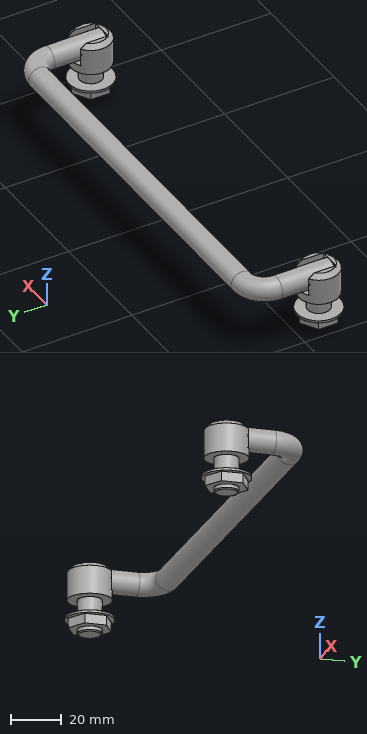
import cadquery as cq
import math

rod_diameter = 10.0
rod_radius = rod_diameter / 2
post_spacing = 180.0
bar_offset = 29.2
bend_radius = 10.0
rod_end_overrun = 5.0

head_diameter = 18.0
head_height = 13.7
head_chamfer = 2.0
slot_squeeze = 0.02

stud_diameter = 10.0
stud_end_z = -28.0
stud_chamfer = 0.5

washer_diameter = 20.0
washer_thickness = 1.0
washer_top_z = -21.0
nut_across_flats = 15.5
nut_height = 4.0

half_spacing = post_spacing / 2
rod_axis_z = -rod_radius
washer_bottom_z = washer_top_z - washer_thickness


def make_rod():
    """Sweep the round section along one leg, the grip and the other leg."""
    bend_start_y = bar_offset - bend_radius
    bend_end_x = half_spacing - bend_radius
    mid_shift = bend_radius * math.sqrt(0.5)
    mid_x = bend_end_x + mid_shift
    mid_y = bend_start_y + mid_shift
    path = (
        cq.Workplane("XY", origin=(0, 0, rod_axis_z))
        .moveTo(-half_spacing, -rod_end_overrun)
        .lineTo(-half_spacing, bend_start_y)
        .threePointArc((-mid_x, mid_y), (-bend_end_x, bar_offset))
        .lineTo(bend_end_x, bar_offset)
        .threePointArc((mid_x, mid_y), (half_spacing, bend_start_y))
        .lineTo(half_spacing, -rod_end_overrun)
    )
    section = cq.Workplane("XZ", origin=(-half_spacing, -rod_end_overrun, rod_axis_z)).circle(rod_radius)
    return section.sweep(path)


def make_head():
    """Chamfered round head with a flat-bottomed, open-topped slot for the rod end."""
    head = (
        cq.Workplane("XY", origin=(0, 0, -head_height))
        .circle(head_diameter / 2)
        .extrude(head_height)
        .faces(">Z")
        .chamfer(head_chamfer)
    )
    slot_width = rod_diameter - slot_squeeze
    slot_length = rod_end_overrun + head_diameter
    slot = (
        cq.Workplane("XY", origin=(0, slot_length / 2 - rod_end_overrun, 0))
        .rect(slot_width, slot_length)
        .extrude(-slot_width)
    )
    return head.cut(slot)


def make_stud():
    """Plain stud from the underside of the head, chamfered at its free end."""
    return (
        cq.Workplane("XY", origin=(0, 0, stud_end_z))
        .circle(stud_diameter / 2)
        .extrude(-head_height - stud_end_z)
        .faces("<Z")
        .chamfer(stud_chamfer)
    )


def make_washer_and_nut():
    """Round washer with a hexagon nut below it, nut corners on the Y axis."""
    washer = (
        cq.Workplane("XY", origin=(0, 0, washer_top_z))
        .circle(washer_diameter / 2)
        .extrude(-washer_thickness)
    )
    nut_across_corners = nut_across_flats / math.cos(math.pi / 6)
    nut = (
        cq.Workplane("XY", origin=(0, 0, washer_bottom_z))
        .transformed(rotate=(0, 0, 90))
        .polygon(6, nut_across_corners)
        .extrude(-nut_height)
    )
    return washer.union(nut)


post = make_head().union(make_stud()).union(make_washer_and_nut())

result = make_rod()
for side in (-1, 1):
    result = result.union(post.translate((side * half_spacing, 0, 0)))